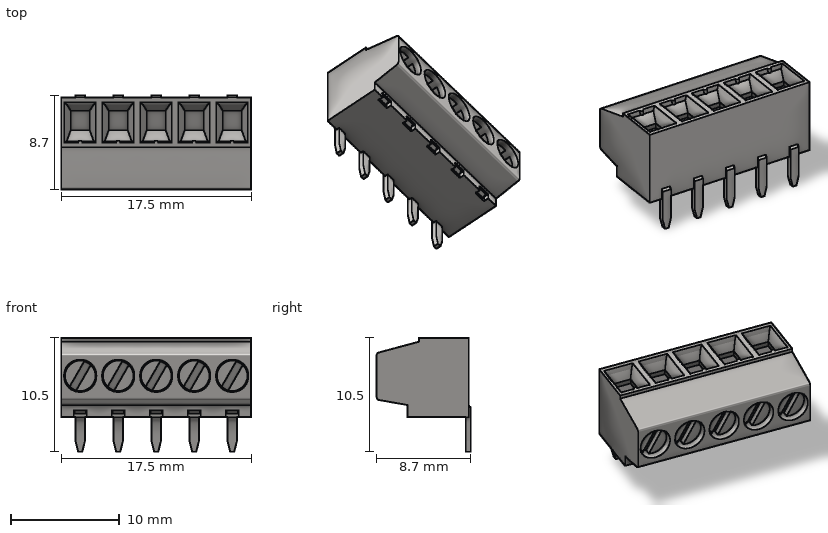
import cadquery as cq
import math


pole_count = 5
pitch = 3.5
row_length = pole_count * pitch
pole_positions = [(i - (pole_count - 1) / 2) * pitch for i in range(pole_count)]

housing_depth = 8.5
housing_height = 7.3
top_depth = 4.6
top_step = 0.35
top_slope = math.radians(15)
foot_depth = 5.65
foot_height = 1.1
bottom_slope = math.radians(10)
front_edge_radius = 0.3

mouth_width = 2.9
mouth_back = 0.44
mouth_front = 4.19
throat_width = 1.75
throat_back = 1.22
throat_front = 3.04
throat_level = 1.15
bend_level = 0.42
bend_back = mouth_back + 0.23
bend_front = mouth_front - 0.15
width_taper = (mouth_width - throat_width) / throat_level
bend_width = mouth_width - width_taper * bend_level
throat_depth = 0.48
rib_radius = 0.2
rib_height = 0.6

screw_height = 3.8
bore_diameter = 3.0
screw_diameter = 2.8
screw_recess = 0.6
screw_gap_depth = 1.0
slot_width = 0.7
slot_depth = 0.6
slot_angle = 60

pocket_width = 1.22
pocket_height = 0.65
pocket_depth = 0.5
gusset_width = 1.0
gusset_size = 0.33

pin_width = 0.9
pin_thickness = 0.5
pin_overhang = 0.2
pin_length = 3.2
pin_tip_width = 0.38
pin_taper_length = 1.0
pin_top = 1.07


def make_housing():
    """Extruded side profile with rounded upper and lower front edges."""
    upper_front_z = housing_height - top_step - (housing_depth - top_depth) * math.tan(top_slope)
    lower_front_z = foot_height + (housing_depth - foot_depth) * math.tan(bottom_slope)
    profile = [
        (0, 0),
        (0, housing_height),
        (-top_depth, housing_height),
        (-top_depth, housing_height - top_step),
        (-housing_depth, upper_front_z),
        (-housing_depth, lower_front_z),
        (-foot_depth, foot_height),
        (-foot_depth, 0),
    ]
    housing = cq.Workplane("YZ").polyline(profile).close().extrude(row_length / 2, both=True)
    return housing.faces("<Y").edges("|X").fillet(front_edge_radius)


def opening_section(x, width, back, front, level):
    """Rectangular outline of a funnel at the given depth below the housing top."""
    plane = cq.Workplane("XY", origin=(x, -(back + front) / 2, housing_height - level))
    return plane.rect(width, front - back).val()


def make_funnel(x):
    """Wire entry: a tapered mouth, a flatter lower funnel and a straight throat."""
    mouth = opening_section(x, mouth_width, mouth_back, mouth_front, 0)
    bend = opening_section(x, bend_width, bend_back, bend_front, bend_level)
    throat = opening_section(x, throat_width, throat_back, throat_front, throat_level)
    upper_funnel = cq.Workplane(cq.Solid.makeLoft([mouth, bend], True))
    lower_funnel = cq.Workplane(cq.Solid.makeLoft([bend, throat], True))
    straight_throat = cq.Workplane(throat).toPending().extrude(-throat_depth)
    rib_base = housing_height - rib_height
    rib = cq.Workplane("XY", origin=(x, -mouth_front, rib_base)).circle(rib_radius).extrude(rib_height)
    return upper_funnel.union(lower_funnel).union(straight_throat).cut(rib)


def make_screw_cavity(x):
    """Space around a recessed slotted screw head."""
    front = cq.Workplane("XZ", origin=(x, -housing_depth, screw_height))
    head_face = front.workplane(offset=-screw_recess)
    bore = front.circle(bore_diameter / 2).extrude(-screw_recess)
    gap = head_face.circle(bore_diameter / 2).circle(screw_diameter / 2).extrude(-screw_gap_depth)
    head = head_face.circle(screw_diameter / 2).extrude(-slot_depth)
    bar = (
        head_face.transformed(rotate=(0, 0, slot_angle))
        .rect(bore_diameter, slot_width)
        .extrude(-slot_depth)
    )
    return bore.union(gap).union(bar.intersect(head))


def make_foot_pocket(x):
    """Pocket open to the front and underside of the foot, less its gusset."""
    pocket_back = pocket_depth - foot_depth
    pocket = cq.Workplane("XY").box(
        pocket_width, pocket_depth, pocket_height, centered=(True, False, False)
    ).translate((x, -foot_depth, 0))
    gusset = (
        cq.Workplane("YZ", origin=(x, 0, 0))
        .moveTo(pocket_back, pocket_height)
        .lineTo(pocket_back - gusset_size, pocket_height)
        .lineTo(pocket_back, pocket_height - gusset_size)
        .close()
        .extrude(gusset_width / 2, both=True)
    )
    return pocket.cut(gusset)


def make_pin(x):
    """Flat pin with a tapered tip and a chamfered upper back edge."""
    taper_start = pin_taper_length - pin_length
    outline = [
        (-pin_width / 2, pin_top),
        (-pin_width / 2, taper_start),
        (-pin_tip_width / 2, -pin_length),
        (pin_tip_width / 2, -pin_length),
        (pin_width / 2, taper_start),
        (pin_width / 2, pin_top),
    ]
    pin = cq.Workplane("XZ", origin=(x, pin_overhang, 0)).polyline(outline).close().extrude(pin_thickness)
    return pin.faces(">Z").edges(">Y").chamfer(pin_overhang)


result = make_housing()
for pole_x in pole_positions:
    result = result.cut(make_funnel(pole_x))
    result = result.cut(make_screw_cavity(pole_x))
    result = result.cut(make_foot_pocket(pole_x))
    result = result.union(make_pin(pole_x))